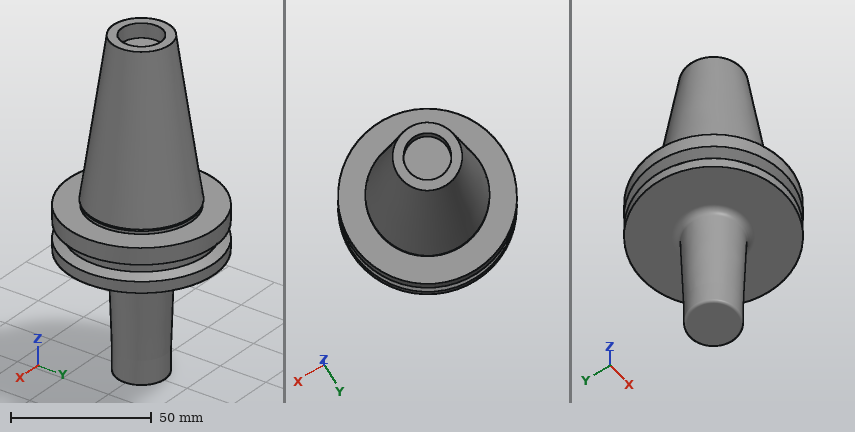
import cadquery as cq
import math

total_height = 137.4
nose_cylinder_top = 10.5
flange_bottom = 50.0
flange_top = 68.4
groove_floor_bottom = 56.5
groove_floor_top = 59.8
groove_bevel_height = 1.8
relief_top = 69.7
taper_bottom = 70.5

nose_radius = 10.6
shank_top_radius = 11.8
flange_radius = 63.6 / 2
groove_radius = 55.8 / 2
relief_radius = 21.8
taper_bottom_radius = 22.1
taper_top_radius = 12.4

nose_rounding = 1.1
root_fillet_radius = 2.9
bore_radius = 8.5
bore_depth = 6.0

root_fillet_bottom = flange_bottom - root_fillet_radius
arc_midpoint_inset = 1 - math.sqrt(0.5)


def make_body():
    """Revolve the half outline of the holder about the Z axis."""
    outline = (
        cq.Workplane("XZ")
        .lineTo(nose_radius - nose_rounding, 0)
        .threePointArc(
            (nose_radius - nose_rounding * arc_midpoint_inset, nose_rounding * arc_midpoint_inset),
            (nose_radius, nose_rounding),
        )
        .lineTo(nose_radius, nose_cylinder_top)
        .lineTo(shank_top_radius, root_fillet_bottom)
        .threePointArc(
            (
                shank_top_radius + root_fillet_radius * arc_midpoint_inset,
                flange_bottom - root_fillet_radius * arc_midpoint_inset,
            ),
            (shank_top_radius + root_fillet_radius, flange_bottom),
        )
        .lineTo(flange_radius, flange_bottom)
        .lineTo(flange_radius, groove_floor_bottom - groove_bevel_height)
        .lineTo(groove_radius, groove_floor_bottom)
        .lineTo(groove_radius, groove_floor_top)
        .lineTo(flange_radius, groove_floor_top + groove_bevel_height)
        .lineTo(flange_radius, flange_top)
        .lineTo(relief_radius, flange_top)
        .lineTo(relief_radius, relief_top)
        .lineTo(taper_bottom_radius, taper_bottom)
        .lineTo(taper_top_radius, total_height)
        .lineTo(0, total_height)
        .close()
    )
    return outline.revolve(360, (0, 0, 0), (0, 1, 0))


def make_bore():
    """Make the shallow blind bore in the small end of the taper."""
    return (
        cq.Workplane("XY")
        .workplane(offset=total_height - bore_depth)
        .circle(bore_radius)
        .extrude(bore_depth)
    )


result = make_body().cut(make_bore())